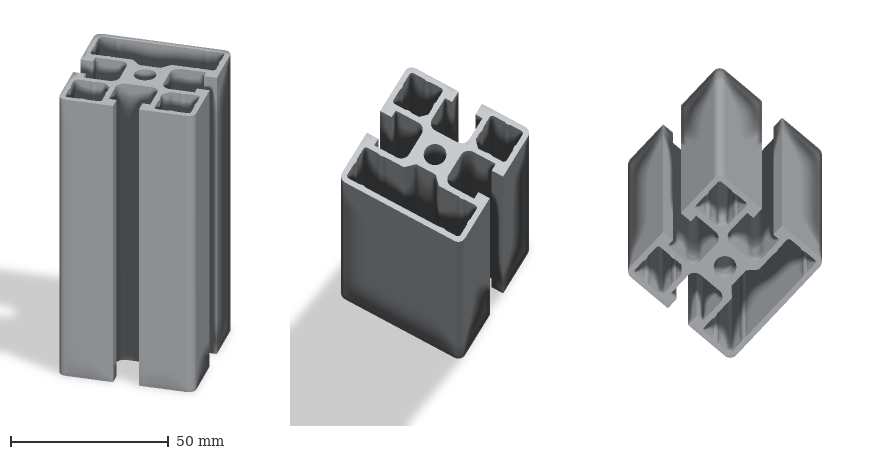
import cadquery as cq

side = 45.0
length = 100.0
outer_radius = 2.5

wall = 1.8
bore_diameter = 7.2
chamber_corner_radius = 1.0

mouth_width = 8.5
lip_thickness = 4.2
slot_width = 13.7
slot_depth = 15.3
slot_corner_radius = 2.9

corner_chamfer = 2.2
channel_floor = 5.8
channel_top_half_width = 6.4

ridge_width = 2.2
ridge_height = 0.25

half = side / 2
chamber_outer = half - wall
chamber_inner = slot_width / 2 + wall
chamber_size = chamber_outer - chamber_inner
chamber_middle = (chamber_outer + chamber_inner) / 2


def prism(sketch):
    """Extrude a closed outline over the full length of the part."""
    return sketch.extrude(length)


def block(x_min, x_max, y_min, y_max):
    """Full-length box between the given X and Y limits."""
    return (
        cq.Workplane("XY")
        .box(x_max - x_min, y_max - y_min, length, centered=False)
        .translate((x_min, y_min, 0))
    )


def t_slot(angle):
    """T-slot opening towards -Y, turned about the Z axis."""
    mouth = block(-mouth_width / 2, mouth_width / 2, -half, -half + lip_thickness)
    cavity = block(-slot_width / 2, slot_width / 2, -half + lip_thickness, -half + slot_depth)
    cavity = cavity.edges("|Z and >Y").fillet(slot_corner_radius)
    return mouth.union(cavity).rotate((0, 0, 0), (0, 0, 1), angle)


def corner_chamber():
    """Square chamber in the -X -Y corner, chamfered towards the core."""
    chamber = block(-chamber_outer, -chamber_inner, -chamber_outer, -chamber_inner)
    chamber = chamber.edges("|Z and >X and >Y").chamfer(corner_chamfer)
    return chamber.edges("|Z and (<X or <Y)").fillet(chamber_corner_radius)


def wide_chamber():
    """Chamber along the +Y side with a sloped channel towards the core."""
    chamber = block(-chamber_outer, chamber_outer, chamber_inner, chamber_outer)
    chamber = chamber.edges("|Z").fillet(chamber_corner_radius)
    channel_drop = chamber_inner - channel_floor
    floor_half_width = channel_top_half_width - channel_drop
    channel = prism(
        cq.Workplane("XY").polyline([
            (-channel_top_half_width, chamber_inner),
            (-floor_half_width, channel_floor),
            (floor_half_width, channel_floor),
            (channel_top_half_width, chamber_inner),
        ]).close()
    )
    return chamber.union(channel)


def ridge(x, y, angle):
    """Shallow rounded ridge on a wall; at angle 0 it rises towards +Y."""
    outline = (
        cq.Workplane("XY")
        .moveTo(-ridge_width / 2, 0)
        .threePointArc((0, ridge_height), (ridge_width / 2, 0))
        .close()
    )
    return prism(outline).rotate((0, 0, 0), (0, 0, 1), angle).translate((x, y, 0))


def chamber_ridges(x_sign, y_sign):
    """Ridges on the walls around one quadrant's chamber area."""
    x_middle = x_sign * chamber_middle
    y_middle = y_sign * chamber_middle
    lower_wall = y_middle - chamber_size / 2
    upper_wall = y_middle + chamber_size / 2
    ridges = [
        ridge(x_middle, lower_wall, 0),
        ridge(x_middle, upper_wall, 180),
        ridge(x_sign * chamber_outer, y_middle, x_sign * 90),
    ]
    if y_sign < 0:
        ridges.append(ridge(x_sign * chamber_inner, y_middle, -x_sign * 90))
    return ridges


body = block(-half, half, -half, half).edges("|Z").fillet(outer_radius)

for slot_angle in (-90, 0, 90):
    body = body.cut(t_slot(slot_angle))

left_chamber = corner_chamber()
body = body.cut(left_chamber)
body = body.cut(left_chamber.mirror("YZ"))
body = body.cut(wide_chamber())
body = body.cut(prism(cq.Workplane("XY").circle(bore_diameter / 2)))

for x_side in (-1, 1):
    for y_side in (-1, 1):
        for wall_ridge in chamber_ridges(x_side, y_side):
            body = body.union(wall_ridge)

result = body